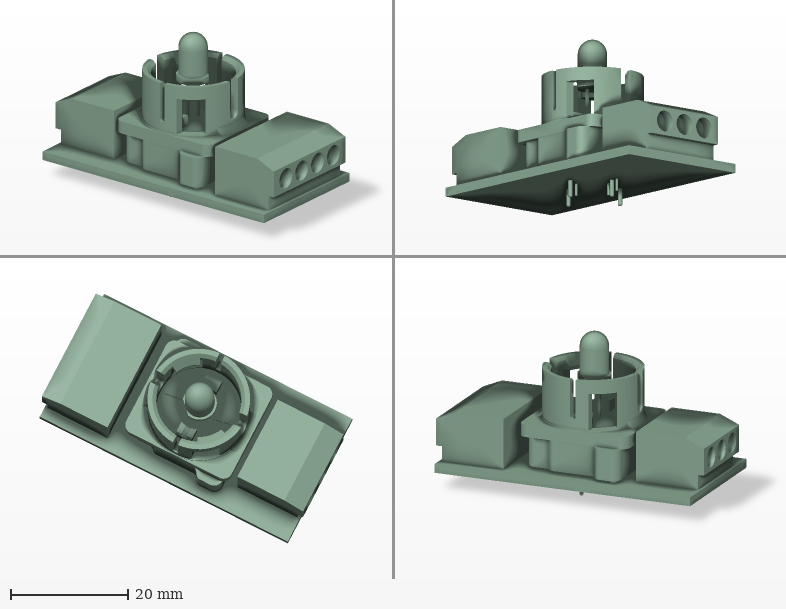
import cadquery as cq
import math


BOARD_LENGTH = 47.5
BOARD_WIDTH = 24.0
BOARD_THICKNESS = 1.55

OVERALL_LENGTH = 48.7
BLOCK_DEPTH = 12.55
BLOCK_HEIGHT = 8.95
BLOCK_LIP = 1.1
BLOCK_LIP_HEIGHT = 2.7
BLOCK_SLOPE_RUN = 3.55
BLOCK_SLOPE_DROP = 1.5
WIRE_HOLE_DIAMETER = 3.6
WIRE_HOLE_PITCH = 4.45
WIRE_HOLE_HEIGHT = 5.1
WIRE_HOLE_DEPTH = 2.0
BLOCK_WIDTH_PER_WIRE = 5.0
LEFT_WIRE_COUNT = 3
RIGHT_WIRE_COUNT = 4

SWITCH_X = -0.55
BODY_BOTTOM = 0.45
FLANGE_BOTTOM = 5.9
FLANGE_TOP = 8.1
FLANGE_LENGTH = 20.15
FLANGE_WIDTH = 17.85
CORNER_RADIUS = 1.55
BODY_HALF_LENGTH = 9.0
BODY_SHALLOW_WALL = 8.0
BODY_MIDDLE_WALL = 8.85
BODY_DEEP_WALL = 10.32
BODY_MIDDLE_X = 4.0
BODY_SHALLOW_X = 4.85
BODY_DEEP_X = 4.95
BODY_STEP_RADIUS = 1.0

COLLAR_RADIUS = 17.5 / 2
COLLAR_INNER_RADIUS = 7.25
COLLAR_TOP = 17.1
COLLAR_CHAMFER = 0.65
COLLAR_BASE_RADIUS = 8.9
COLLAR_BASE_HEIGHT = 0.25
SLOT_BOTTOM = 10.05
NARROW_SLOT = 0.95
WIDE_SLOT = 2.25
HOOK_INNER_RADIUS = 6.3
HOOK_START_ANGLE = 25.5
HOOK_SWEEP = 39
WINDOW_NEAR_X = 2.75
WINDOW_FAR_X = 6.75
WINDOW_TOP = 14.8
GUSSET_SIZE = 1.05
GUSSET_LENGTH = 7.3
GUSSET_CORNER_RADIUS = 0.95
GUSSET_HOLLOW = 0.35

POST_WIDTH = 2.95
POST_INNER_Y = 3.5
POST_CLEARANCE_RADIUS = 3.85
POST_OUTER_Y = 5.85
POST_CHAMFER = 0.45
POST_GROOVE_WIDTH = 0.93
POST_GROOVE_DEPTH = 0.45
FLOOR_GROOVE_WIDTH = 0.25
FLOOR_GROOVE_ENDS = [((-6.35, -0.1), (-3.1, 0.45)), ((2.7, -0.1), (6.5, 0.2))]

LAMP_X = -0.35
LAMP_Y = 0.35
LAMP_RADIUS = 5.0 / 2
LAMP_TOP = 23.42
LAMP_RIM_RADIUS = 2.9
LAMP_RIM_BOTTOM = 14.9
LAMP_RIM_TOP = 16.0
LEAD_WIDTH = 0.45
LEAD_OFFSET = 0.65

FOOT_DIAMETER = 1.5
FOOT_X = 7.8
FOOT_Y = 9.25
CENTRE_FOOT_DIAMETER = 2.65
SIDE_FOOT_X = 3.55
SIDE_FOOT_WIDTH = 2.0
PIN_DIAMETER = 0.75
PIN_TIP = -4.5
PIN_CHAMFER = 0.15
EMBEDDING = 0.5
PIN_NEAR = 5.0
PIN_FAR = 6.25
THIN_PIN_DIAMETER = 0.45
THIN_PIN_TIP = -3.6
LAMP_PIN_OFFSET = 1.95
SENSE_PIN = (-6.1, -0.2)


def cylinder(radius, bottom, top, x=0, y=0):
    return cq.Workplane("XY", origin=(x, y, bottom)).circle(radius).extrude(top - bottom)


def box(length, width, bottom, top, x=0, y=0):
    return cq.Workplane("XY", origin=(x, y, bottom)).rect(length, width).extrude(top - bottom)


def half_turn(shape):
    return shape.rotate((0, 0, 0), (0, 0, 1), 180)


def make_terminal_block(wire_count):
    """Terminal block on the -X end, with its wire holes opening towards -X."""
    front = -OVERALL_LENGTH / 2
    back = front + BLOCK_DEPTH
    width = wire_count * BLOCK_WIDTH_PER_WIRE
    profile = [
        (back, 0),
        (front + BLOCK_LIP, 0),
        (front + BLOCK_LIP, BLOCK_LIP_HEIGHT),
        (front, BLOCK_LIP_HEIGHT),
        (front, BLOCK_HEIGHT - BLOCK_SLOPE_DROP),
        (front + BLOCK_SLOPE_RUN, BLOCK_HEIGHT),
        (back, BLOCK_HEIGHT),
    ]
    block = cq.Workplane("XZ").polyline(profile).close().extrude(width / 2, both=True)
    holes = (
        cq.Workplane("YZ", origin=(front, 0, WIRE_HOLE_HEIGHT))
        .rarray(WIRE_HOLE_PITCH, 0.5, wire_count, 1)
        .circle(WIRE_HOLE_DIAMETER / 2)
        .extrude(WIRE_HOLE_DEPTH)
    )
    return block.cut(holes)


def make_housing():
    """Lower body with two stepped sides (equal under a half turn), and the flange above it."""
    front_side = [
        (-BODY_HALF_LENGTH, -BODY_SHALLOW_WALL),
        (-BODY_SHALLOW_X, -BODY_SHALLOW_WALL),
        (-BODY_MIDDLE_X, -BODY_MIDDLE_WALL),
        (BODY_MIDDLE_X, -BODY_MIDDLE_WALL),
        (BODY_DEEP_X, -BODY_DEEP_WALL),
        (BODY_HALF_LENGTH, -BODY_DEEP_WALL),
    ]
    back_side = [(-x, -y) for x, y in front_side]
    body = (
        cq.Workplane("XY", origin=(0, 0, BODY_BOTTOM))
        .polyline(front_side + back_side)
        .close()
        .extrude(FLANGE_BOTTOM - BODY_BOTTOM)
    )
    inner_half_length = (BODY_DEEP_X + BODY_HALF_LENGTH) / 2
    between_corners = cq.selectors.BoxSelector(
        (-inner_half_length, -FLANGE_LENGTH, BODY_BOTTOM),
        (inner_half_length, FLANGE_LENGTH, FLANGE_BOTTOM),
    )
    vertical = cq.selectors.ParallelDirSelector(cq.Vector(0, 0, 1))
    step_edges = cq.selectors.AndSelector(vertical, between_corners)
    body = body.edges(step_edges).fillet(BODY_STEP_RADIUS)
    body = body.edges("|Z and (<X or >X)").fillet(CORNER_RADIUS)
    flange = box(FLANGE_LENGTH, FLANGE_WIDTH, FLANGE_BOTTOM, FLANGE_TOP).edges("|Z").fillet(CORNER_RADIUS)
    return body.union(flange)


def make_slot(width):
    """Round-bottomed slot running across the whole collar along Y."""
    radius = width / 2
    centre_z = SLOT_BOTTOM + radius
    half_length = COLLAR_BASE_RADIUS
    slot = box(width, 2 * half_length, centre_z, COLLAR_TOP)
    rounding = cq.Workplane("XZ", origin=(0, 0, centre_z)).circle(radius).extrude(half_length, both=True)
    return slot.union(rounding)


def make_hook_sector():
    """Wedge-shaped region that the snap hook of the +X, -Y quadrant fills."""
    reach = 2 * COLLAR_RADIUS
    directions = [math.radians(-HOOK_START_ANGLE - turn) for turn in (0, HOOK_SWEEP)]
    corners = [(reach * math.cos(angle), reach * math.sin(angle)) for angle in directions]
    return (
        cq.Workplane("XY", origin=(0, 0, FLANGE_TOP))
        .polyline([(0, 0)] + corners)
        .close()
        .extrude(COLLAR_TOP - FLANGE_TOP)
    )


def make_gussets():
    """Concave fillets at the foot of the collar, below the two wide slots."""
    bottom = FLANGE_TOP
    outer = COLLAR_RADIUS + GUSSET_SIZE
    inner = (COLLAR_INNER_RADIUS + COLLAR_RADIUS) / 2
    top = bottom + GUSSET_SIZE
    middle = GUSSET_SIZE * GUSSET_HOLLOW
    skirt = (
        cq.Workplane("XZ")
        .moveTo(inner, bottom)
        .lineTo(outer, bottom)
        .threePointArc((COLLAR_RADIUS + middle, bottom + middle), (COLLAR_RADIUS, top))
        .lineTo(inner, top)
        .close()
        .revolve(360, (0, 0, 0), (0, 1, 0))
    )
    limits = box(2 * outer, GUSSET_LENGTH, bottom, top).edges("|Z").fillet(GUSSET_CORNER_RADIUS)
    return skirt.intersect(limits)


def make_collar():
    """Collar whose 45 degree lead-in runs on inwards to form two opposite snap hooks."""
    base_top = FLANGE_TOP + COLLAR_BASE_HEIGHT
    lead_in_radius = COLLAR_INNER_RADIUS + COLLAR_CHAMFER
    profile = [
        (COLLAR_INNER_RADIUS, FLANGE_TOP),
        (COLLAR_BASE_RADIUS, FLANGE_TOP),
        (COLLAR_BASE_RADIUS, base_top),
        (COLLAR_RADIUS, base_top),
        (COLLAR_RADIUS, COLLAR_TOP),
        (lead_in_radius, COLLAR_TOP),
        (HOOK_INNER_RADIUS, COLLAR_TOP - lead_in_radius + HOOK_INNER_RADIUS),
        (HOOK_INNER_RADIUS, WINDOW_TOP),
        (COLLAR_INNER_RADIUS, WINDOW_TOP),
    ]
    collar = cq.Workplane("XZ").polyline(profile).close().revolve(360, (0, 0, 0), (0, 1, 0))
    hook_sector = make_hook_sector()
    relief = cylinder(COLLAR_INNER_RADIUS, FLANGE_TOP, COLLAR_TOP).cut(hook_sector).cut(half_turn(hook_sector))
    collar = collar.cut(relief).union(make_gussets())

    window = box(
        WINDOW_FAR_X - WINDOW_NEAR_X,
        COLLAR_RADIUS,
        base_top,
        WINDOW_TOP,
        (WINDOW_NEAR_X + WINDOW_FAR_X) / 2,
        -COLLAR_RADIUS / 2,
    )
    collar = collar.cut(window).cut(half_turn(window))
    wide_slot = make_slot(WIDE_SLOT).rotate((0, 0, 0), (0, 0, 1), 90)
    return collar.cut(make_slot(NARROW_SLOT)).cut(wide_slot)


def make_posts():
    """Two guide posts hollowed towards the collar axis; the +Y one has a groove along its top."""
    depth = POST_OUTER_Y - POST_INNER_Y
    middle_y = (POST_OUTER_Y + POST_INNER_Y) / 2
    post = box(POST_WIDTH, depth, FLANGE_TOP, SLOT_BOTTOM, y=middle_y)
    post = post.edges(">Y and >Z").chamfer(POST_CHAMFER)
    groove = box(POST_GROOVE_WIDTH, depth, SLOT_BOTTOM - POST_GROOVE_DEPTH, SLOT_BOTTOM, y=middle_y)
    posts = post.cut(groove).union(half_turn(post))
    return posts.cut(cylinder(POST_CLEARANCE_RADIUS, FLANGE_TOP, SLOT_BOTTOM))


def make_floor_groove(start, end):
    run = end[0] - start[0]
    rise = end[1] - start[1]
    return (
        box(math.hypot(run, rise), FLOOR_GROOVE_WIDTH, FLANGE_TOP - FLOOR_GROOVE_WIDTH, FLANGE_TOP)
        .rotate((0, 0, 0), (0, 0, 1), math.degrees(math.atan2(rise, run)))
        .translate(((start[0] + end[0]) / 2, (start[1] + end[1]) / 2, 0))
    )


def make_lamp():
    """Domed lamp standing on two leads; the rim has a flat facing +X +Y."""
    dome_base = LAMP_TOP - LAMP_RADIUS
    rim = cylinder(LAMP_RIM_RADIUS, LAMP_RIM_BOTTOM, LAMP_RIM_TOP)
    flat = box(
        LAMP_RIM_RADIUS,
        2 * LAMP_RIM_RADIUS,
        LAMP_RIM_BOTTOM,
        LAMP_RIM_TOP,
        LAMP_RADIUS + LAMP_RIM_RADIUS / 2,
    )
    rim = rim.cut(flat.rotate((0, 0, 0), (0, 0, 1), 45))
    dome = cq.Workplane("XY").sphere(LAMP_RADIUS).translate((0, 0, dome_base))
    lamp = rim.union(cylinder(LAMP_RADIUS, LAMP_RIM_BOTTOM, dome_base)).union(dome)
    for offset in (-LEAD_OFFSET, LEAD_OFFSET):
        lead = box(LEAD_WIDTH, LEAD_WIDTH, FLANGE_BOTTOM, LAMP_RIM_TOP, offset, offset)
        lamp = lamp.union(lead)
    return lamp.translate((LAMP_X, LAMP_Y, 0))


def make_feet():
    """Supports between the board and the switch body."""
    bottom = -BOARD_THICKNESS / 2
    top = BODY_BOTTOM + EMBEDDING
    feet = cylinder(CENTRE_FOOT_DIAMETER / 2, bottom, top)
    feet = feet.union(box(SIDE_FOOT_WIDTH, SIDE_FOOT_WIDTH, bottom, top, SIDE_FOOT_X))
    corner_foot = cylinder(FOOT_DIAMETER / 2, bottom, top, FOOT_X, -FOOT_Y)
    return feet.union(corner_foot).union(half_turn(corner_foot))


def make_pins():
    """Contact pins on both axes of the switch, and thinner pins for the lamp and sense contact."""
    top = BODY_BOTTOM + EMBEDDING
    pins = cq.Workplane("XY")
    for x, y in [(-PIN_NEAR, 0), (PIN_FAR, 0), (0, PIN_NEAR), (0, -PIN_FAR)]:
        pin = cylinder(PIN_DIAMETER / 2, PIN_TIP, top, x, y)
        pins = pins.add(pin.faces("<Z").chamfer(PIN_CHAMFER))
    lamp_pins = [(LAMP_X + side * LAMP_PIN_OFFSET, LAMP_Y + side * LAMP_PIN_OFFSET) for side in (-1, 1)]
    for x, y in lamp_pins + [SENSE_PIN]:
        pins = pins.add(cylinder(THIN_PIN_DIAMETER / 2, THIN_PIN_TIP, top, x, y))
    return pins.combine()


switch = make_housing()
for groove_start, groove_end in FLOOR_GROOVE_ENDS:
    switch = switch.cut(make_floor_groove(groove_start, groove_end))
for piece in (make_collar(), make_posts(), make_lamp(), make_feet(), make_pins()):
    switch = switch.union(piece)

board = box(BOARD_LENGTH, BOARD_WIDTH, -BOARD_THICKNESS, 0)
left_block = make_terminal_block(LEFT_WIRE_COUNT)
right_block = half_turn(make_terminal_block(RIGHT_WIRE_COUNT))
result = board.union(left_block).union(right_block).union(switch.translate((SWITCH_X, 0, 0)))